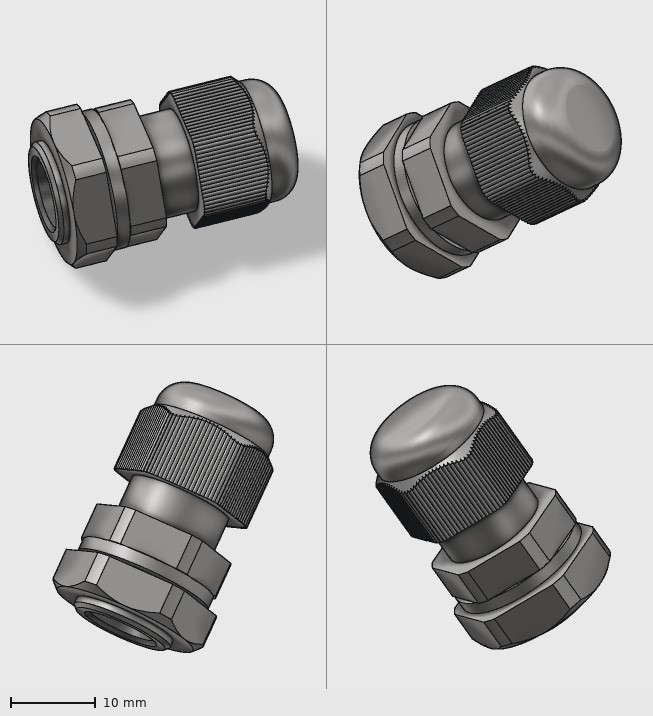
import cadquery as cq
import math


lock_nut_start = 1.25
lock_nut_end = 5.95
washer_start = 6.45
body_hex_start = 8.0
body_hex_end = 12.45
cap_start = 17.22
dome_start = 25.98
total_length = 30.1

body_diameter = 12.5
body_chamfer = 0.48
bore_diameter = 8.3
bore_chamfer = 0.5
bore_depth = dome_start
washer_diameter = 16.9

hex_sides = 6
half_side_angle = math.pi / hex_sides
lock_nut_flats = 17.7
lock_nut_corners = 19.5
body_hex_flats = 15.8
body_hex_corners = 17.4

dome_diameter = 14.8
dome_round = 3.2
cap_flats = 15.63
cap_corner_round = 2.53
ribs_per_side = 17
rib_height = 0.25


def hex_prism(flats, corners, start, end):
    """Hexagon with flats facing +Z and -Z, its corners rounded to one cylinder."""
    length = end - start
    plane = cq.Workplane("XZ", origin=(0, start, 0))
    sharp_corners = flats / math.cos(half_side_angle)
    hexagon = plane.polygon(hex_sides, sharp_corners).extrude(-length)
    return hexagon.intersect(plane.circle(corners / 2).extrude(-length))


def cylinder(diameter, start, end):
    return cq.Workplane("XZ", origin=(0, start, 0)).circle(diameter / 2).extrude(start - end)


def make_body():
    body = cylinder(body_diameter, 0, dome_start).faces("<Y").chamfer(body_chamfer)
    washer = cylinder(washer_diameter, washer_start, body_hex_start)
    grip = hex_prism(body_hex_flats, body_hex_corners, body_hex_start, body_hex_end)
    return body.union(washer).union(grip)


def make_lock_nut():
    """Hexagon nut whose front corners are cut by a 45 degree cone."""
    corner_cut = (lock_nut_corners - lock_nut_flats) / 2
    nut = hex_prism(lock_nut_flats, lock_nut_corners, lock_nut_start, lock_nut_end)
    envelope = cylinder(lock_nut_corners, lock_nut_start, lock_nut_end)
    return nut.intersect(envelope.faces("<Y").chamfer(corner_cut))


def side_point(distance, height):
    """Point on one side of the cap's rounded hexagon, the side facing +Z.

    distance runs along the rib-root outline from the middle of the side,
    height is measured outward from that outline.
    """
    root_round = cap_corner_round - rib_height
    center_to_round = cap_flats / 2 - cap_corner_round
    half_flat = center_to_round * math.tan(half_side_angle)
    turn = max(abs(distance) - half_flat, 0) / root_round
    reach = root_round + height
    along = min(abs(distance), half_flat) + reach * math.sin(turn)
    outward = center_to_round + reach * math.cos(turn)
    return math.copysign(along, distance), outward


def turned(point, angle):
    """Turn an (x, z) point about the gland axis, from +Z towards +X."""
    x, z = point
    return (
        x * math.cos(angle) + z * math.sin(angle),
        z * math.cos(angle) - x * math.sin(angle),
    )


def make_ribbed_grip():
    """Rounded hexagon covered in equal ribs, a rib crest lying on each corner."""
    root_round = cap_corner_round - rib_height
    half_flat = (cap_flats / 2 - cap_corner_round) * math.tan(half_side_angle)
    side_length = 2 * (half_flat + root_round * half_side_angle)
    pitch = side_length / ribs_per_side

    ribs_before_middle = ribs_per_side // 2
    outline = cq.Workplane("XZ", origin=(0, cap_start, 0))
    outline = outline.moveTo(*side_point(-ribs_before_middle * pitch, 0))
    for side in range(hex_sides):
        angle = side * 2 * half_side_angle
        for rib in range(-ribs_before_middle, ribs_per_side - ribs_before_middle - 1):
            crest = turned(side_point((rib + 0.5) * pitch, rib_height), angle)
            root = turned(side_point((rib + 1) * pitch, 0), angle)
            outline = outline.threePointArc(crest, root)
        corner_crest = turned(side_point(side_length / 2, rib_height), angle)
        next_root = turned(side_point(-ribs_before_middle * pitch, 0), angle + 2 * half_side_angle)
        outline = outline.threePointArc(corner_crest, next_root)
    return outline.close().extrude(cap_start - dome_start)


def make_cap():
    """Ribbed grip trimmed by a 45 degree cone that narrows to the dome."""
    drop = dome_start - cap_start
    dome_radius = dome_diameter / 2
    cone_base = cq.Workplane("XZ", origin=(0, cap_start, 0)).circle(dome_radius + drop)
    cone = cone_base.workplane(offset=-drop).circle(dome_radius).loft(ruled=True)
    dome = cylinder(dome_diameter, dome_start, total_length).faces(">Y").edges().fillet(dome_round)
    return make_ribbed_grip().intersect(cone).union(dome)


def drill_bore(gland):
    """Blind bore from the thread end with a chamfered mouth."""
    drilled = gland.cut(cylinder(bore_diameter, 0, bore_depth))
    smallest_circle = cq.selectors.RadiusNthSelector(0)
    return drilled.faces("<Y").edges(smallest_circle).chamfer(bore_chamfer)


result = drill_bore(make_body().union(make_lock_nut()).union(make_cap()))